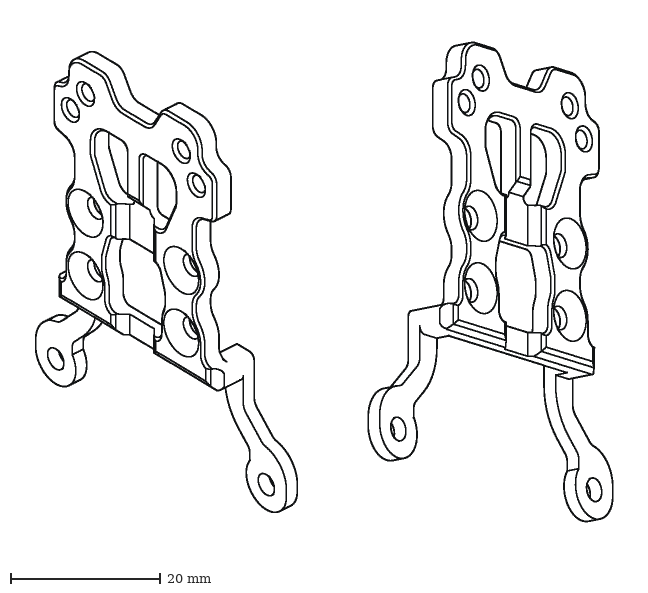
import cadquery as cq
import math


overall_depth = 7.01
plate_thickness = 3.0
arm_thickness = 2.0
arm_front = overall_depth - arm_thickness

plate_height = 40.6
waist_x = 12.07
head_x = 13.2
ear_x = 16.1
foot_x = 16.33
foot_height = 3.58
foot_corner = 1.0
edge_chamfer = 0.4
break_run = edge_chamfer * math.cos(math.radians(45))
break_depth = edge_chamfer * math.sin(math.radians(45))
foot_bottom_chamfer = 1.0
foot_side_chamfer = 1.6

screw_x = 9.5
lower_screw_z = 6.75
screw_spacing_z = 10.0
screw_positions = [(screw_x, lower_screw_z), (screw_x, lower_screw_z + screw_spacing_z)]
screw_diameter = 3.2
countersink_diameter = 6.9
boss_radius = 4.25
boss_blend = 3.0
boss_foot_blend = 1.5

ear_hole_positions = [(9.5, 35.8), (12.5, 31.8)]
ear_hole_diameter = 2.53
ear_hole_chamfer = 0.5

rib_half_width = 1.54
upper_window_x = 8.12
upper_window_top = 31.45
upper_window_bottom = 20.9
lower_window_x = 5.9
lower_window_top = 15.27
lower_window_bottom = 3.3
window_corner = 1.0

channel_depth = 1.6
channel_half_width = 4.04
channel_end = 23.47

arm_inner_x = 12.65
arm_bend_z = -4.15
arm_inner_bend_z = -5.14
arm_bend_radius = 2.0
arm_inner_bend_radius = 9.5
arm_notch_x = 17.6
arm_notch_radius = 1.5
standoff_inner_corner = 0.4
lug_x = 20.9
lug_z = -14.2
lug_radius = 4.0
lug_hole_diameter = 3.2
lug_shoulder_z = -8.1
lug_shoulder_radius = 5.0
strap_overlap = 1.0
lug_shoulder_blend = 1.5


def mirrored(corners):
    """Close a half outline with its reflection about X = 0."""
    return corners + [(-x, z, radius) for x, z, radius in reversed(corners)]


def prism(corners, front, back):
    """Extrude a polygon with rounded corners from Y = front to Y = back."""
    sketch = cq.Workplane("XZ", origin=(0, front, 0))
    for i, (x, z, radius) in enumerate(corners):
        corner = cq.Vector(x, z)
        before = cq.Vector(*corners[i - 1][:2])
        after = cq.Vector(*corners[(i + 1) % len(corners)][:2])
        to_before = (before - corner).normalized()
        to_after = (after - corner).normalized()
        half_angle = to_before.getAngle(to_after) / 2
        tangent_length = radius / math.tan(half_angle)
        inset = radius / math.sin(half_angle) - radius
        arc_start = corner + to_before * tangent_length
        arc_middle = corner + (to_before + to_after).normalized() * inset
        arc_end = corner + to_after * tangent_length
        if i == 0:
            sketch = sketch.moveTo(arc_start.x, arc_start.y)
        else:
            sketch = sketch.lineTo(arc_start.x, arc_start.y)
        if radius > 0:
            sketch = sketch.threePointArc((arc_middle.x, arc_middle.y), (arc_end.x, arc_end.y))
    return sketch.close().extrude(front - back)


def cylinders(positions, radius, front, back):
    """Cylinders along Y at the given positions and at their reflections."""
    centres = positions + [(-x, z) for x, z in positions]
    return cq.Workplane("XZ", origin=(0, front, 0)).pushPoints(centres).circle(radius).extrude(front - back)


def both_sides(solid):
    """Add the reflection about X = 0."""
    return solid.union(solid.mirror("YZ"))


def plate_body():
    boss_side = screw_x + boss_radius
    return prism(mirrored([
        (3.27, 36.6, 2.0),
        (5.57, plate_height, 1.75),
        (head_x, plate_height, 3.0),
        (head_x, 35.4, 2.0),
        (ear_x, 34.57, 1.4),
        (ear_x, 27.3, 1.4),
        (waist_x, 26.3, 2.2),
        (waist_x, lower_screw_z, 0),
        (boss_side, lower_screw_z, 0),
        (boss_side, foot_height, boss_foot_blend),
        (foot_x, foot_height, foot_corner),
        (foot_x, 0, foot_corner),
    ]), 0, plate_thickness)


def upper_windows():
    return both_sides(prism([
        (rib_half_width, upper_window_top, window_corner),
        (upper_window_x, upper_window_top, 2.7),
        (upper_window_x, 26.6, window_corner),
        (5.64, upper_window_bottom, 1.9),
        (rib_half_width, upper_window_bottom, window_corner),
    ], 0, plate_thickness))


def lower_window():
    boss_side = screw_x - boss_radius
    return prism(mirrored([
        (4.78, lower_window_top, 1.2),
        (lower_window_x, 11.4, 3.0),
        (lower_window_x, lower_screw_z, 0),
        (boss_side, lower_screw_z, 0),
        (boss_side, lower_window_bottom, 1.4),
    ]), 0, plate_thickness)


def boss_junction(flank_x, screw_z, side):
    """Height at which a boss circle crosses a straight flank."""
    return screw_z + side * math.sqrt(boss_radius ** 2 - (flank_x - screw_x) ** 2)


def plate_outline():
    plate = plate_body().cut(upper_windows()).cut(lower_window())
    plate = plate.union(cylinders(screw_positions, boss_radius, 0, plate_thickness))
    lower_z = lower_screw_z
    upper_z = lower_screw_z + screw_spacing_z
    junctions = [
        (waist_x, boss_junction(waist_x, lower_z, 1)),
        (waist_x, boss_junction(waist_x, upper_z, -1)),
        (waist_x, boss_junction(waist_x, upper_z, 1)),
        (lower_window_x, boss_junction(lower_window_x, lower_z, 1)),
    ]
    for x, z in junctions:
        for sign in (-1, 1):
            edge = cq.selectors.NearestToPointSelector((sign * x, plate_thickness / 2, z))
            plate = plate.edges("|Y").edges(edge).fillet(boss_blend)
    return plate


def channel():
    """Trapezoidal trough open at the lower edge, ending in a slope below the rib."""
    floor_half_width = channel_half_width - channel_depth
    right_wall = [
        (channel_half_width + edge_chamfer, 0),
        (channel_half_width - break_run, break_depth),
        (floor_half_width, channel_depth),
    ]
    left_wall = [(-x, y) for x, y in reversed(right_wall)]
    trough = cq.Workplane("XY").polyline(right_wall + left_wall).close().extrude(channel_end + edge_chamfer)
    below_slope = (
        cq.Workplane("YZ", origin=(-plate_height / 2, 0, 0))
        .polyline([
            (0, 0),
            (0, channel_end + edge_chamfer),
            (break_depth, channel_end - break_run),
            (channel_depth, channel_end - channel_depth),
            (channel_depth, 0),
        ])
        .close()
        .extrude(plate_height)
    )
    return trough.intersect(below_slope)


def bevel_profile(size):
    """Section of a 45 degree bevel with a broken front edge: (distance from the side, depth)."""
    return [(0, 0), (size + edge_chamfer, 0), (size - break_run, break_depth), (0, size)]


def foot_bevels():
    """Wedges that bevel the lower front edge and the front edges of the foot ends."""
    bottom_section = [(depth, rise) for rise, depth in bevel_profile(foot_bottom_chamfer)]
    bottom = (
        cq.Workplane("YZ", origin=(-foot_x, 0, 0))
        .polyline(bottom_section)
        .close()
        .extrude(2 * foot_x)
    )
    side_section = [(foot_x - distance, depth) for distance, depth in bevel_profile(foot_side_chamfer)]
    side = cq.Workplane("XY").polyline(side_section).close().extrude(foot_height)
    return bottom.union(both_sides(side))


def cone_holes(positions, hole_diameter, mouth_diameter):
    """Through holes with a 90 degree conical mouth on the front face."""
    holes = cylinders(positions, hole_diameter / 2, 0, plate_thickness)
    cone_depth = (mouth_diameter - hole_diameter) / 2
    for x, z in positions:
        cone = cq.Solid.makeCone(
            mouth_diameter / 2,
            hole_diameter / 2,
            cone_depth,
            pnt=cq.Vector(x, 0, z),
            dir=cq.Vector(0, 1, 0),
        )
        holes = holes.union(both_sides(cq.Workplane(cone)))
    return holes


def plate():
    body = plate_outline().faces("<Y").edges().chamfer(edge_chamfer)
    body = body.cut(foot_bevels()).cut(channel())
    body = body.cut(cone_holes(screw_positions, screw_diameter, countersink_diameter))
    ear_mouth_diameter = ear_hole_diameter + 2 * ear_hole_chamfer
    return body.cut(cone_holes(ear_hole_positions, ear_hole_diameter, ear_mouth_diameter))


def arm():
    standoff = prism([
        (arm_inner_x, 0, 0),
        (arm_inner_x, foot_height, standoff_inner_corner),
        (foot_x, foot_height, foot_corner),
        (foot_x, 0, foot_corner),
    ], plate_thickness, arm_front)
    shoulder_x = foot_x + arm_bend_z - lug_shoulder_z
    notch_z = arm_inner_bend_z - (arm_notch_x - arm_inner_x)
    strap = prism([
        (arm_inner_x, foot_height, standoff_inner_corner),
        (foot_x, foot_height, foot_corner),
        (foot_x, arm_bend_z, arm_bend_radius),
        (shoulder_x + strap_overlap, lug_shoulder_z - strap_overlap, 0),
        (shoulder_x + strap_overlap, lug_z, 0),
        (arm_notch_x, lug_z, 0),
        (arm_notch_x, notch_z, arm_notch_radius),
        (arm_inner_x, arm_inner_bend_z, arm_inner_bend_radius),
    ], arm_front, overall_depth)
    shoulder = prism([
        (arm_notch_x, lug_shoulder_z, 0),
        (lug_x + lug_radius, lug_shoulder_z, lug_shoulder_radius),
        (lug_x + lug_radius, lug_z, 0),
        (arm_notch_x, lug_z, 0),
    ], arm_front, overall_depth)
    arm_middle = arm_front + arm_thickness / 2
    corner = cq.selectors.NearestToPointSelector((shoulder_x, arm_middle, lug_shoulder_z))
    blade = strap.union(shoulder).edges("|Y").edges(corner).fillet(lug_shoulder_blend)
    return standoff.union(blade)


def arms():
    lug = cylinders([(lug_x, lug_z)], lug_radius, arm_front, overall_depth)
    lug_hole = cylinders([(lug_x, lug_z)], lug_hole_diameter / 2, arm_front, overall_depth)
    return both_sides(arm()).union(lug).cut(lug_hole)


result = plate().union(arms())